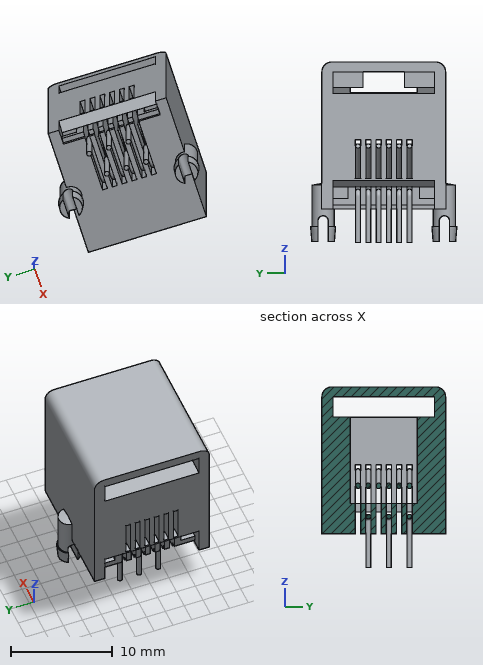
import cadquery as cq
import math


OVERALL_HEIGHT = 17.8
OVERALL_WIDTH = 14.4

HOUSING_LENGTH = 13.0
HOUSING_WIDTH = 12.21
HOUSING_HEIGHT = 14.49
TOP_RADIUS = 1.0
TOP_WALL = 1.0
INNER_WIDTH = 9.99

WINDOW_SILL = 11.35
WINDOW_TOP = HOUSING_HEIGHT - TOP_WALL
FRONT_WALL = 1.0
FRONT_LINTEL = 11.95
LATCH_WIDTH = 4.04

CAVITY_WIDTH = 6.55
CAVITY_START = 2.76

NOTCH_TOP = 2.81
NOTCH_INNER_TOP = 2.15
NOTCH_DEPTH = 1.03
FOOT_HEIGHT = 0.41
FOOT_DEPTH = 1.51
CORNER_POCKET_WIDTH = 1.5
CORNER_POCKET_FLOOR = 1.01
CORNER_POCKET_DEPTH = 1.0

CONTACT_COUNT = 6
CONTACT_PITCH = 1.01
WIRE_DIAMETER = 0.5
WIRE_BEND = 0.5
LEG_LENGTH = OVERALL_HEIGHT - HOUSING_HEIGHT
REAR_ROW = 2.15
ROW_SPACING = 2.53
RUN_HEIGHT = 1.7
SPRING_ANGLE = 34.0
TIP_X = 1.42
TIP_HEIGHT = 6.21

SLOT_WIDTH = WIRE_DIAMETER
SLOT_SILL = 3.0
SLOT_TOP = 6.8

PEG_DIAMETER = 2.2
PEG_X = 7.0
PEG_BARB_RADIUS = 1.23
PEG_TIP_RADIUS = 1.12
PEG_Y = OVERALL_WIDTH / 2 - PEG_BARB_RADIUS
PEG_TOP = 2.35
PEG_CONE_HEIGHT = 0.2
PEG_BARB_TOP = -1.73
PEG_BARB_BOTTOM = -1.92
PEG_BOTTOM = -3.2
PEG_SLIT_WIDTH = 1.0
PEG_SLIT_TOP = -0.68

SLOPE = math.radians(SPRING_ANGLE)
BEND_CENTER_Z = RUN_HEIGHT + WIRE_BEND
BEND_EXIT_Z = BEND_CENTER_Z + WIRE_BEND * math.cos(SLOPE)
BEND_EXIT_X = TIP_X + (TIP_HEIGHT - BEND_EXIT_Z) / math.tan(SLOPE)
BEND_CENTER_X = BEND_EXIT_X - WIRE_BEND * math.sin(SLOPE)
BEND_FRONT_X = BEND_CENTER_X + WIRE_BEND
SLOT_END = BEND_FRONT_X + WIRE_DIAMETER / 2

CONTACT_YS = [(i - (CONTACT_COUNT - 1) / 2) * CONTACT_PITCH for i in range(CONTACT_COUNT)]


def box(x0, x1, width, z0, z1, y=0):
    """A block from x0 to x1 and z0 to z1, centred on y."""
    block = cq.Workplane("XY").box(x1 - x0, width, z1 - z0, centered=(False, True, False))
    return block.translate((x0, y, z0))


def side_prism(points, width, y=0):
    """An XZ outline extruded along Y and centred on y."""
    return cq.Workplane("XZ").polyline(points).close().extrude(width / 2, both=True).translate((0, y, 0))


def make_shell():
    block = box(0, HOUSING_LENGTH, HOUSING_WIDTH, 0, HOUSING_HEIGHT)
    return block.edges("|X and >Z").fillet(TOP_RADIUS)


def make_window():
    front = HOUSING_LENGTH - FRONT_WALL
    outline = [(0, WINDOW_SILL), (front, FRONT_LINTEL), (front, WINDOW_TOP), (0, WINDOW_TOP)]
    return side_prism(outline, INNER_WIDTH)


def make_plug_opening():
    cavity = box(CAVITY_START, HOUSING_LENGTH, CAVITY_WIDTH, SLOT_SILL, FRONT_LINTEL)
    latch = box(CAVITY_START, HOUSING_LENGTH, LATCH_WIDTH, FRONT_LINTEL, WINDOW_TOP)
    return cavity.union(latch)


def make_notch():
    """Clearance below the rear wall: sloped roof, stepped front and a pocket in each corner."""
    notch = side_prism(
        [
            (0, 0),
            (0, NOTCH_TOP),
            (NOTCH_DEPTH, NOTCH_INNER_TOP),
            (NOTCH_DEPTH, FOOT_HEIGHT),
            (FOOT_DEPTH, FOOT_HEIGHT),
            (FOOT_DEPTH, 0),
        ],
        INNER_WIDTH,
    )
    pocket_end = NOTCH_DEPTH + CORNER_POCKET_DEPTH
    pocket_y = (INNER_WIDTH - CORNER_POCKET_WIDTH) / 2
    for y in (-pocket_y, pocket_y):
        notch = notch.union(
            box(NOTCH_DEPTH, pocket_end, CORNER_POCKET_WIDTH, CORNER_POCKET_FLOOR, NOTCH_INNER_TOP, y)
        )
    return notch


def make_contact_slot(y):
    """Slot through the rear wall above its sill, and through the underside in front of the notch."""
    return side_prism(
        [
            (0, SLOT_SILL),
            (NOTCH_DEPTH, SLOT_SILL),
            (NOTCH_DEPTH, 0),
            (SLOT_END, 0),
            (SLOT_END, SLOT_TOP),
            (0, SLOT_TOP),
        ],
        SLOT_WIDTH,
        y,
    )


def make_peg(y):
    """Round peg with a conical top and a barbed end, split by a round-ended slit along X."""
    radius = PEG_DIAMETER / 2
    peg = (
        cq.Workplane("XZ")
        .polyline(
            [
                (0, PEG_TOP + PEG_CONE_HEIGHT),
                (radius, PEG_TOP),
                (radius, PEG_BARB_TOP),
                (PEG_BARB_RADIUS, PEG_BARB_TOP),
                (PEG_BARB_RADIUS, PEG_BARB_BOTTOM),
                (PEG_TIP_RADIUS, PEG_BOTTOM),
                (0, PEG_BOTTOM),
            ]
        )
        .close()
        .revolve(360, (0, 0, 0), (0, 1, 0))
    )
    half_slit = PEG_SLIT_WIDTH / 2
    slit = (
        cq.Workplane("YZ")
        .moveTo(-half_slit, PEG_BOTTOM)
        .lineTo(-half_slit, PEG_SLIT_TOP - half_slit)
        .threePointArc((0, PEG_SLIT_TOP), (half_slit, PEG_SLIT_TOP - half_slit))
        .lineTo(half_slit, PEG_BOTTOM)
        .close()
        .extrude(PEG_DIAMETER, both=True)
    )
    return peg.cut(slit).translate((PEG_X, y, 0))


def make_housing():
    housing = make_shell().cut(make_window()).cut(make_plug_opening()).cut(make_notch())
    for y in CONTACT_YS:
        housing = housing.cut(make_contact_slot(y))
    for y in (-PEG_Y, PEG_Y):
        housing = housing.union(make_peg(y))
    return housing


def make_contact(leg_x, y):
    """Wire with a vertical leg, a run towards the front and a spring sloping back up to its tip."""
    corner = WIRE_BEND * math.sqrt(0.5)
    path = (
        cq.Workplane("XZ")
        .moveTo(leg_x, -LEG_LENGTH)
        .lineTo(leg_x, RUN_HEIGHT - WIRE_BEND)
        .threePointArc(
            (leg_x + WIRE_BEND - corner, RUN_HEIGHT - WIRE_BEND + corner),
            (leg_x + WIRE_BEND, RUN_HEIGHT),
        )
        .lineTo(BEND_CENTER_X, RUN_HEIGHT)
        .threePointArc((BEND_FRONT_X, BEND_CENTER_Z), (BEND_EXIT_X, BEND_EXIT_Z))
        .lineTo(TIP_X, TIP_HEIGHT)
    )
    leg_end = cq.Workplane("XY", origin=(leg_x, 0, -LEG_LENGTH)).circle(WIRE_DIAMETER / 2)
    return leg_end.sweep(path).translate((0, y, 0))


housing = make_housing()
contacts = []
for index, contact_y in enumerate(CONTACT_YS):
    row_offset = ROW_SPACING if index % 2 == 0 else 0
    contacts.append(make_contact(REAR_ROW + row_offset, contact_y))

result = cq.Compound.makeCompound([housing.val(), *[contact.val() for contact in contacts]])